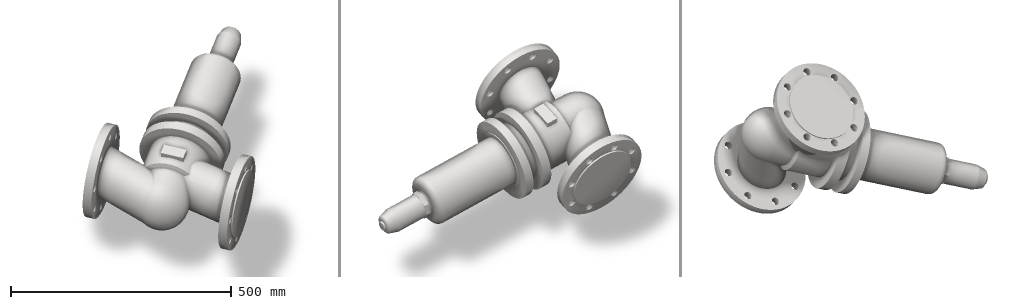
import cadquery as cq
import math


face_to_face = 350.0
flange_diameter = 220.0
flange_total_thickness = 24.0
raised_face_height = 3.5
raised_face_diameter = 158.0
bolt_circle_diameter = 180.0
bolt_hole_diameter = 18.0
bolt_count = 8

pipe_diameter = 114.5
inlet_angle = 20.5
outlet_angle = 13.0

overall_length = 606.0

end_radius = 62.0
end_bottom_y = -114.5
body_radius = 72.5
body_bottom_y = 3.5
body_bevel_height = 5.5
body_flange_radius = 98.0
lower_flange_bottom_y = 89.0
lower_flange_top_y = 111.5
neck_radius = 71.0
upper_flange_bottom_y = 138.0
upper_flange_top_y = 158.0
housing_seat_radius = 70.0
housing_seat_height = 2.0

housing_radius = 60.0
housing_top_y = 371.5
housing_rounding = 14.5
collar_radius = 31.0
collar_height = 2.0
nut_corner_diameter = 64.0
nut_sides = 8
nut_bottom_y = 377.0
nut_height = 12.0
cap_radius = 29.0
cap_taper_start_y = 461.0
cap_taper_end_y = 479.0
cap_taper_end_radius = 23.5
cap_shoulder_rounding = 8.0
tip_radius = 11.5

plate_width = 53.5
plate_length = 26.0
plate_bottom_y = 23.0
plate_top_z = 82.5

flange_back_x = face_to_face / 2 - flange_total_thickness
end_centre_y = end_bottom_y + end_radius
cap_shoulder_y = cap_taper_end_y + cap_shoulder_rounding
tip_y = end_bottom_y + overall_length


def spindle_body():
    """Everything that is round about the Y axis, as one revolved outline."""
    corner = math.sqrt(0.5)
    housing_arc_y = housing_top_y - housing_rounding
    housing_arc_radius = housing_radius - housing_rounding
    housing_seat_y = upper_flange_top_y + housing_seat_height
    collar_top_y = housing_top_y + collar_height
    shoulder_arc_radius = cap_taper_end_radius - cap_shoulder_rounding
    outline = (
        cq.Workplane("XY")
        .moveTo(0, end_bottom_y)
        .threePointArc(
            (end_radius * corner, end_centre_y - end_radius * corner),
            (end_radius, end_centre_y),
        )
        .lineTo(end_radius, body_bottom_y - body_bevel_height)
        .lineTo(body_radius, body_bottom_y)
        .lineTo(body_radius, lower_flange_bottom_y)
        .lineTo(body_flange_radius, lower_flange_bottom_y)
        .lineTo(body_flange_radius, lower_flange_top_y)
        .lineTo(neck_radius, lower_flange_top_y)
        .lineTo(neck_radius, upper_flange_bottom_y)
        .lineTo(body_flange_radius, upper_flange_bottom_y)
        .lineTo(body_flange_radius, upper_flange_top_y)
        .lineTo(housing_seat_radius, upper_flange_top_y)
        .lineTo(housing_seat_radius, housing_seat_y)
        .lineTo(housing_radius, housing_seat_y)
        .lineTo(housing_radius, housing_arc_y)
        .threePointArc(
            (housing_arc_radius + housing_rounding * corner, housing_arc_y + housing_rounding * corner),
            (housing_arc_radius, housing_top_y),
        )
        .lineTo(collar_radius, housing_top_y)
        .lineTo(collar_radius, collar_top_y)
        .lineTo(cap_radius, collar_top_y)
        .lineTo(cap_radius, cap_taper_start_y)
        .lineTo(cap_taper_end_radius, cap_taper_end_y)
        .threePointArc(
            (
                shoulder_arc_radius + cap_shoulder_rounding * corner,
                cap_taper_end_y + cap_shoulder_rounding * corner,
            ),
            (shoulder_arc_radius, cap_shoulder_y),
        )
        .lineTo(tip_radius, cap_shoulder_y)
        .lineTo(tip_radius, tip_y)
        .lineTo(0, tip_y)
        .close()
    )
    return outline.revolve(360, (0, 0, 0), (0, 1, 0))


def lock_nut():
    """Eight-sided nut below the cap, with a corner pointing up."""
    return (
        cq.Workplane("XZ", origin=(0, nut_bottom_y, 0))
        .polygon(nut_sides, nut_corner_diameter)
        .extrude(-nut_height)
    )


def pipe_flange(side):
    """Flange with raised face and bolt holes; side is -1 for the inlet and 1 for the outlet."""
    plate_thickness = flange_total_thickness - raised_face_height
    half_pitch_angle = 180 / bolt_count
    back_face = cq.Workplane("YZ", origin=(side * flange_back_x, 0, 0))
    flange = (
        back_face
        .circle(flange_diameter / 2)
        .extrude(side * plate_thickness)
    )
    raised_face = (
        back_face
        .circle(raised_face_diameter / 2)
        .extrude(side * flange_total_thickness)
    )
    holes = (
        back_face
        .polarArray(bolt_circle_diameter / 2, half_pitch_angle, 360, bolt_count)
        .circle(bolt_hole_diameter / 2)
        .extrude(side * flange_total_thickness)
    )
    return flange.union(raised_face).cut(holes)


def sloping_pipe(side, axis_y):
    """Pipe from the Y axis at axis_y to the centre of a flange, trimmed flush with the flange back."""
    direction = cq.Vector(side * flange_back_x, -axis_y, 0)
    overrun_length = direction.Length + pipe_diameter / 2
    pipe = (
        cq.Workplane(cq.Plane(origin=(0, axis_y, 0), normal=direction))
        .circle(pipe_diameter / 2)
        .extrude(overrun_length)
    )
    space_between_flanges = cq.Workplane("XY").box(2 * flange_back_x, overall_length, flange_diameter)
    return pipe.intersect(space_between_flanges)


def name_plate():
    """Flat rectangular pad on top of the valve body."""
    return (
        cq.Workplane("XY")
        .center(0, plate_bottom_y + plate_length / 2)
        .rect(plate_width, plate_length)
        .extrude(plate_top_z)
    )


inlet_axis_y = -flange_back_x * math.tan(math.radians(inlet_angle))
outlet_axis_y = flange_back_x * math.tan(math.radians(outlet_angle))

result = (
    spindle_body()
    .union(lock_nut())
    .union(name_plate())
    .union(sloping_pipe(-1, inlet_axis_y))
    .union(sloping_pipe(1, outlet_axis_y))
    .union(pipe_flange(-1))
    .union(pipe_flange(1))
)